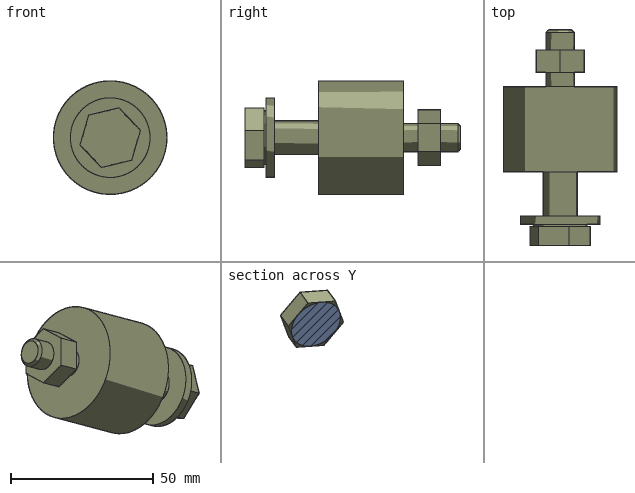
import cadquery as cq
import math

total_length = 75.85

body_diameter = 40.0
body_length = 29.95

stud_diameter = 10.0
stud_length = 20.0
stud_chamfer = 1.0
nut_across_flats = 17.0
nut_height = 8.0
nut_gap = 5.0
nut_corner_angle = 90.0

bolt_diameter = 12.0
washer_diameter = 28.0
washer_thickness = 3.0
collar_diameter = 19.0
collar_thickness = 0.7
head_across_flats = 19.0
head_height = 6.75
head_corner_angle = 73.6

head_start = -total_length / 2
head_end = head_start + head_height
collar_end = head_end + collar_thickness
washer_end = collar_end + washer_thickness
stud_end = total_length / 2
body_end = stud_end - stud_length
body_start = body_end - body_length
nut_start = body_end + nut_gap


def plane_at(y):
    """Plane across the axis, with its normal toward +Y and local X along +X."""
    return cq.Workplane(cq.Plane(origin=(0, y, 0), xDir=(1, 0, 0), normal=(0, 1, 0)))


def cylinder(start, end, diameter):
    return plane_at(start).circle(diameter / 2).extrude(end - start)


def hexagon(start, height, across_flats, corner_angle):
    """Hexagonal prism; corner_angle is measured from +X toward +Z."""
    across_corners = across_flats / math.cos(math.pi / 6)
    prism = plane_at(start).polygon(6, across_corners).extrude(height)
    return prism.rotate((0, 0, 0), (0, 1, 0), -corner_angle)


body = cylinder(body_start, body_end, body_diameter)
stud = cylinder(body_end, stud_end, stud_diameter).faces(">Y").chamfer(stud_chamfer)
nut = hexagon(nut_start, nut_height, nut_across_flats, nut_corner_angle)

bolt_shank = cylinder(washer_end, body_start, bolt_diameter)
washer = cylinder(collar_end, washer_end, washer_diameter)
collar = cylinder(head_end, collar_end, collar_diameter)
head = hexagon(head_start, head_height, head_across_flats, head_corner_angle)

result = body
for piece in (stud, nut, bolt_shank, washer, collar, head):
    result = result.union(piece)